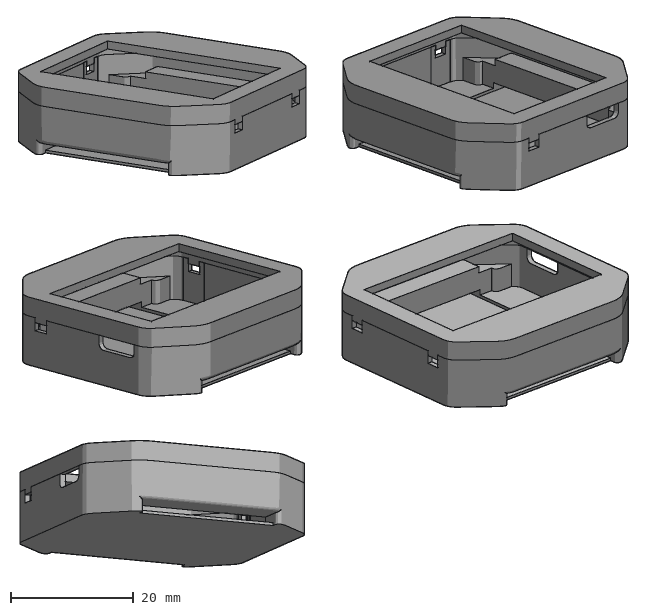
import cadquery as cq
import math

LENGTH_X = 39.8
WIDTH_Y = 38.53
HEIGHT = 11.75
SPLIT_Z = 8.48
WALL = 1.0
HALF_X = LENGTH_X / 2
HALF_Y = WIDTH_Y / 2

BEVEL_X = 7.4
BEVEL_ANGLE = 40.0
BEVEL_Y = BEVEL_X * math.tan(math.radians(BEVEL_ANGLE))
END_RADIUS = 4.98
SIDE_RADIUS = 3.0

SIDE_FLOOR = 1.0
MIDDLE_FLOOR = 0.48
FLOOR_END_Y = 17.3
SLOT_HALF_WIDTH = 11.95
SLOT_HEIGHT = 1.95
SLOT_ROUND = 0.68

SUPPORT_Y = 14.4
SHELF_HALF_LENGTH = 11.65
SHELF_TOP = 6.15
POST_TOP = 5.05
POST_X = 14.45
POST_RADIUS = 1.0

LID_PLATE = 1.35
WINDOW_X = 32.7
WINDOW_Y = 21.6
WINDOW_CENTER_Y = -0.6

TAB_SIDES = [(-1, 1), (1, 1), (1, -1)]
TAB_Y = 9.2
TAB_WIDTH = 2.4
TAB_DROP = 0.88
NOTCH_BOTTOM = 6.2
RELIEF_WIDTH = 4.55
RELIEF_DEPTH = 0.1

PORT_Y = -6.95
PORT_WIDTH = 7.45
PORT_BOTTOM = 6.05
PORT_RADIUS = 1.0


def block(x_range, y_range, z_range):
    """Box that spans the three ranges."""
    (x0, x1), (y0, y1), (z0, z1) = x_range, y_range, z_range
    return cq.Workplane("XY").box(x1 - x0, y1 - y0, z1 - z0, centered=False).translate((x0, y0, z0))


def mirror_four_ways(solid):
    """The solid and its copies in the other three quadrants."""
    pair = solid.union(solid.mirror("YZ"))
    return pair.union(pair.mirror("XZ"))


def outline_prism(inset, z0, z1):
    """Plan outline, moved inwards by inset and extruded from z0 to z1."""
    angle = math.radians(BEVEL_ANGLE)
    end_setback = END_RADIUS * math.tan(angle / 2)
    side_setback = SIDE_RADIUS * math.tan((math.pi / 2 - angle) / 2)
    end_center = (HALF_X - BEVEL_X - end_setback, HALF_Y - END_RADIUS)
    side_center = (HALF_X - SIDE_RADIUS, HALF_Y - BEVEL_Y - side_setback)
    end_radius = END_RADIUS - inset
    side_radius = SIDE_RADIUS - inset

    def on_arc(center, radius, degrees):
        turn = math.radians(degrees)
        return (center[0] + radius * math.cos(turn), center[1] + radius * math.sin(turn))

    bevel_normal = 90.0 - BEVEL_ANGLE
    quarter = (
        cq.Workplane("XY").workplane(offset=z0)
        .lineTo(HALF_X - inset, 0)
        .lineTo(*on_arc(side_center, side_radius, 0))
        .threePointArc(on_arc(side_center, side_radius, bevel_normal / 2),
                       on_arc(side_center, side_radius, bevel_normal))
        .lineTo(*on_arc(end_center, end_radius, bevel_normal))
        .threePointArc(on_arc(end_center, end_radius, (bevel_normal + 90) / 2),
                       on_arc(end_center, end_radius, 90))
        .lineTo(0, HALF_Y - inset)
        .close()
        .extrude(z1 - z0)
    )
    return mirror_four_ways(quarter).clean()


def tab_block(x_sign, y_sign, width, x_range, z_range):
    """Block centred on one tab position in the wall on the x_sign side."""
    middle = y_sign * TAB_Y
    x_span = sorted(x_sign * x for x in x_range)
    return block(x_span, (middle - width / 2, middle + width / 2), z_range)


def make_supports():
    """Shelves along the front and back walls, with a lower post in each corner."""
    shelf = block((0, SHELF_HALF_LENGTH), (SUPPORT_Y, HALF_Y), (SIDE_FLOOR, SHELF_TOP))
    post_y = SUPPORT_Y - POST_RADIUS
    diagonal = POST_RADIUS * math.sqrt(0.5)
    post_round_x = POST_X + POST_RADIUS
    post = (
        cq.Workplane("XY").workplane(offset=SIDE_FLOOR)
        .moveTo(SHELF_HALF_LENGTH, SUPPORT_Y)
        .lineTo(POST_X, SUPPORT_Y)
        .threePointArc((post_round_x - diagonal, SUPPORT_Y - diagonal), (post_round_x, post_y))
        .lineTo(HALF_X, post_y)
        .lineTo(HALF_X, HALF_Y)
        .lineTo(SHELF_HALF_LENGTH, HALF_Y)
        .close()
        .extrude(POST_TOP - SIDE_FLOOR)
    )
    return mirror_four_ways(shelf.union(post))


def make_outer_form():
    """Solid case outline with a strap tunnel along Y, open below and flared at both mouths."""
    tunnel = block((-SLOT_HALF_WIDTH, SLOT_HALF_WIDTH), (-HALF_Y, HALF_Y), (0, SPLIT_Z))
    sides = outline_prism(0, 0, SPLIT_Z).cut(tunnel)
    margin = 0.05
    tunnel_edges = cq.selectors.BoxSelector(
        (-SLOT_HALF_WIDTH - margin, -HALF_Y, 0), (SLOT_HALF_WIDTH + margin, HALF_Y, SPLIT_Z)
    )
    sides = sides.edges("|Z").edges(tunnel_edges).fillet(SLOT_ROUND)
    roof = outline_prism(0, SLOT_HEIGHT, SPLIT_Z).faces("<Z").edges().fillet(SLOT_ROUND)
    return sides.union(roof)


def make_port():
    """Cutter for the connector port: rounded below, open at the top of the wall."""
    cutter = block(
        (-HALF_X, -HALF_X + WALL),
        (PORT_Y - PORT_WIDTH / 2, PORT_Y + PORT_WIDTH / 2),
        (PORT_BOTTOM, SPLIT_Z),
    )
    return cutter.edges("|X and <Z").fillet(PORT_RADIUS)


def make_case():
    cavity = outline_prism(WALL, SIDE_FLOOR, SPLIT_Z).cut(make_supports())
    case = make_outer_form().cut(cavity)
    middle_floor = block(
        (-SLOT_HALF_WIDTH, SLOT_HALF_WIDTH), (-FLOOR_END_Y, FLOOR_END_Y), (0, MIDDLE_FLOOR)
    )
    case = case.union(middle_floor).cut(make_port())
    inner_face = HALF_X - WALL
    for x_sign, y_sign in TAB_SIDES:
        relief_x = (inner_face, inner_face + RELIEF_DEPTH)
        wall_x = (inner_face, HALF_X)
        case = case.cut(tab_block(x_sign, y_sign, RELIEF_WIDTH, relief_x, (SIDE_FLOOR, SPLIT_Z)))
        case = case.cut(tab_block(x_sign, y_sign, TAB_WIDTH, wall_x, (NOTCH_BOTTOM, SPLIT_Z)))
    return case


def make_lid():
    lid = outline_prism(0, SPLIT_Z, HEIGHT).cut(outline_prism(WALL, SPLIT_Z, HEIGHT - LID_PLATE))
    window = block(
        (-WINDOW_X / 2, WINDOW_X / 2),
        (WINDOW_CENTER_Y - WINDOW_Y / 2, WINDOW_CENTER_Y + WINDOW_Y / 2),
        (SPLIT_Z, HEIGHT),
    )
    lid = lid.cut(window)
    wall_x = (HALF_X - WALL, HALF_X)
    for x_sign, y_sign in TAB_SIDES:
        lid = lid.union(tab_block(x_sign, y_sign, TAB_WIDTH, wall_x, (SPLIT_Z - TAB_DROP, SPLIT_Z)))
    return lid


case = make_case()
lid = make_lid()
result = cq.Compound.makeCompound([case.val(), lid.val()])